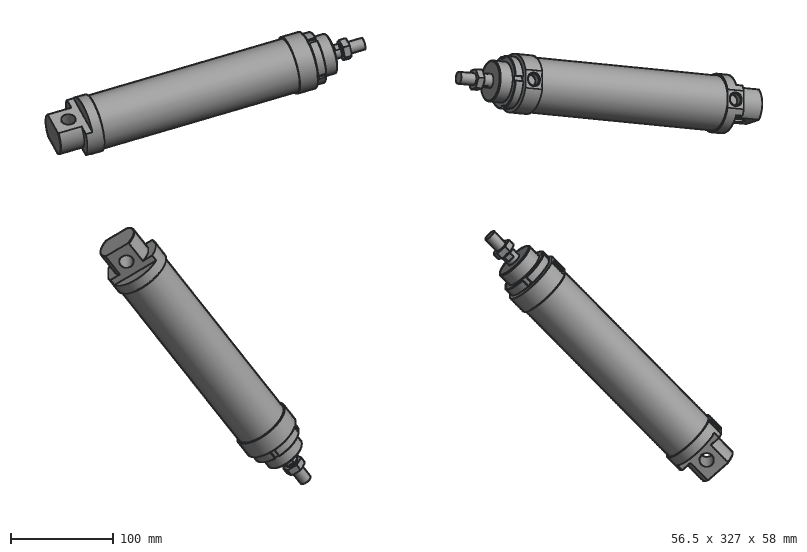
import cadquery as cq
import math


tongue_root_y = 25.0
rear_shoulder_y = 31.7
rear_cap_front_y = 43.0
front_cap_rear_y = 249.0
front_cap_front_y = 267.5
nose_front_y = 292.0
rod_rear_y = front_cap_rear_y
rod_flats_rear_y = 296.3
rod_neck_rear_y = 301.8
rod_tip_y = 327.0

cap_diameter = 58.0
cap_radius = cap_diameter / 2
tube_diameter = 54.3
nose_diameter = 40.5
nose_chamfer = 1.0
tongue_diameter = nose_diameter
tongue_thickness = 30.0
tongue_chamfer = 0.5
tongue_hole_diameter = 14.0
tongue_hole_y = 16.5

port_flat_x = -27.5
port_diameter = 13.7
port_chamfer = 1.0
port_depth = 8.2

ring_diameter = 52.0
ring_rear_y = 269.0
ring_thickness = 8.8
ring_chamfer = 0.5
ring_slot_count = 4
ring_slot_width = 5.0
ring_slot_depth = 2.5

rod_diameter = 14.0
rod_across_flats = 12.0
rod_thread_diameter = 12.0
rod_neck_diameter = 10.0

hex_across_flats = 18.5
hex_across_corners = hex_across_flats / math.cos(math.pi / 6)
hex_rear_y = 303.5
hex_thickness = 7.2
hex_chamfer = 0.5


def disc(diameter, rear_y, front_y):
    """Solid round bar on the cylinder axis between two stations."""
    return (
        cq.Workplane("XZ", origin=(0, rear_y, 0))
        .circle(diameter / 2)
        .extrude(rear_y - front_y)
    )


def block(x_range, y_range, z_range):
    """Rectangular block given by its limits along each axis."""
    limits = (x_range, y_range, z_range)
    sizes = [high - low for low, high in limits]
    middle = tuple((low + high) / 2 for low, high in limits)
    return cq.Workplane("XY").box(*sizes).translate(middle)


def cut_beyond_flats(body, across_flats, y_range):
    """Within the given Y range, remove everything above and below two flats parallel to the XY plane."""
    for side in (1, -1):
        z_range = sorted((side * across_flats / 2, side * cap_radius))
        body = body.cut(block((-cap_radius, cap_radius), y_range, z_range))
    return body


def make_port(center_y):
    """Blind port with a chamfered mouth, ready to be cut from the -X flat."""
    radius = port_diameter / 2
    inner_radius = radius - port_chamfer
    return (
        cq.Workplane("XY", origin=(port_flat_x, center_y, 0))
        .polyline([
            (0, 0),
            (0, radius),
            (port_chamfer, inner_radius),
            (port_depth, inner_radius),
            (port_depth, 0),
        ])
        .close()
        .revolve(360, (0, 0, 0), (1, 0, 0))
    )


def make_housing():
    nose = disc(nose_diameter, front_cap_front_y, nose_front_y).faces(">Y").chamfer(nose_chamfer)
    front_cap = disc(cap_diameter, front_cap_rear_y, front_cap_front_y)
    tube = disc(tube_diameter, rear_cap_front_y, front_cap_rear_y)
    rear_cap = disc(cap_diameter, tongue_root_y, rear_cap_front_y)
    tongue = disc(tongue_diameter, 0, tongue_root_y).faces("<Y").chamfer(tongue_chamfer)

    rear = cut_beyond_flats(rear_cap.union(tongue), tongue_thickness, (0, rear_shoulder_y))
    pivot_hole = (
        cq.Workplane("XY", origin=(0, tongue_hole_y, 0))
        .circle(tongue_hole_diameter / 2)
        .extrude(tongue_thickness, both=True)
    )
    rear = rear.cut(pivot_hole)

    cap_spans = [(tongue_root_y, rear_cap_front_y), (front_cap_rear_y, front_cap_front_y)]
    caps = [rear, front_cap]
    for index, span in enumerate(cap_spans):
        beyond_flat = block((-cap_diameter, port_flat_x), span, (-cap_radius, cap_radius))
        caps[index] = caps[index].cut(beyond_flat)

    housing = caps[0].union(tube).union(caps[1]).union(nose)
    for span in cap_spans:
        housing = housing.cut(make_port(sum(span) / 2))

    rod_bore = disc(rod_diameter, rod_rear_y, nose_front_y)
    return housing.cut(rod_bore)


def make_mounting_nut():
    ring_front_y = ring_rear_y + ring_thickness
    ring = disc(ring_diameter, ring_rear_y, ring_front_y).faces(">Y").chamfer(ring_chamfer)
    ring = ring.cut(disc(nose_diameter, ring_rear_y, ring_front_y))
    ring_radius = ring_diameter / 2
    slot = block(
        (ring_radius - ring_slot_depth, ring_radius + ring_slot_depth),
        (ring_rear_y, ring_front_y),
        (-ring_slot_width / 2, ring_slot_width / 2),
    )
    for index in range(ring_slot_count):
        angle = index * 360 / ring_slot_count
        ring = ring.cut(slot.rotate((0, 0, 0), (0, 1, 0), angle))
    return ring


def make_piston_rod():
    shank = disc(rod_diameter, rod_rear_y, rod_neck_rear_y)
    shank = cut_beyond_flats(shank, rod_across_flats, (rod_flats_rear_y, rod_neck_rear_y))
    neck = disc(rod_neck_diameter, rod_neck_rear_y, hex_rear_y)
    thread = disc(rod_thread_diameter, hex_rear_y, rod_tip_y)
    return shank.union(neck).union(thread)


def make_hex_nut():
    hex_front_y = hex_rear_y + hex_thickness
    hexagon = (
        cq.Workplane("XZ", origin=(0, hex_rear_y, 0))
        .polygon(6, hex_across_corners)
        .extrude(-hex_thickness)
    )
    rounded_corners = (
        disc(hex_across_corners, hex_rear_y, hex_front_y).faces("<Y or >Y").chamfer(hex_chamfer)
    )
    thread_hole = disc(rod_thread_diameter, hex_rear_y, hex_front_y)
    return hexagon.intersect(rounded_corners).cut(thread_hole)


housing = make_housing()
mounting_nut = make_mounting_nut()
piston_rod = make_piston_rod()
hex_nut = make_hex_nut()

result = cq.Compound.makeCompound([
    housing.val(),
    mounting_nut.val(),
    piston_rod.val(),
    hex_nut.val(),
])